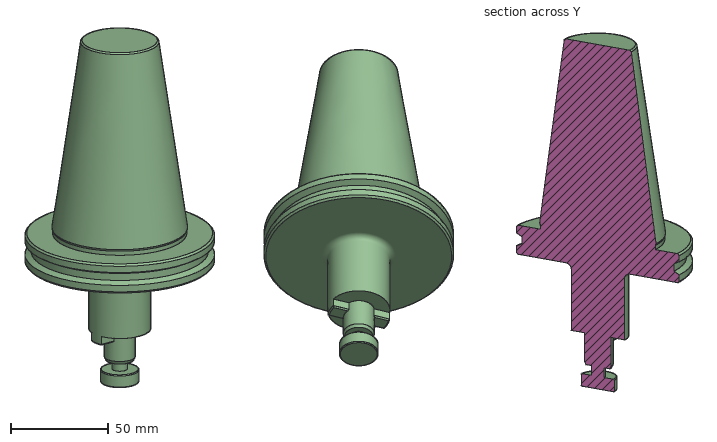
import cadquery as cq


gauge_diameter = 69.85
taper_length = 101.75
taper_ratio = 7 / 24
taper_end_chamfer = 0.75

neck_diameter = 69.0
neck_top_z = -1.0

flange_diameter = 97.5
flange_top_z = -3.2
flange_thickness = 15.9
flange_chamfer = 1.0
groove_floor_diameter = 91.25
groove_centre_z = -11.1
groove_mouth_width = 7.0
groove_floor_width = 3.8

arbor_diameter = 32.0
arbor_shoulder_z = -55.0
arbor_root_fillet = 3.0

key_width = 8.0
key_height = 5.0
key_chamfer = 0.7

pilot_diameter = 16.0
pilot_end_z = -72.0
pilot_chamfer_height = 1.7
pilot_chamfer_depth = 0.8

screw_end_z = -84.0
screw_shank_diameter = 8.0
screw_head_diameter = 20.0
screw_head_height = 7.0
screw_head_chamfer = 0.5

full_turn = 360
axis_start = (0, 0, 0)
axis_end = (0, 1, 0)


def make_cylinder(start_z, end_z, diameter):
    """Cylinder on the Z axis between two heights."""
    return cq.Workplane("XY", origin=(0, 0, start_z)).circle(diameter / 2).extrude(end_z - start_z)


def make_taper():
    """Cone with a chamfered small end and a short bevel down to the neck."""
    gauge_radius = gauge_diameter / 2
    neck_radius = neck_diameter / 2
    small_end_radius = (gauge_diameter - taper_length * taper_ratio) / 2
    chamfer_z = taper_length - taper_end_chamfer
    chamfer_radius = (gauge_diameter - chamfer_z * taper_ratio) / 2
    return (
        cq.Workplane("XZ")
        .moveTo(0, taper_length)
        .lineTo(small_end_radius - taper_end_chamfer, taper_length)
        .lineTo(chamfer_radius, chamfer_z)
        .lineTo(gauge_radius, 0)
        .lineTo(neck_radius, neck_top_z)
        .lineTo(neck_radius, flange_top_z)
        .lineTo(0, flange_top_z)
        .close()
        .revolve(full_turn, axis_start, axis_end)
    )


def make_flange():
    """Disc with chamfered rims and a V-groove around its edge."""
    outer_radius = flange_diameter / 2
    floor_radius = groove_floor_diameter / 2
    rim_radius = outer_radius - flange_chamfer
    bottom_z = flange_top_z - flange_thickness
    half_mouth = groove_mouth_width / 2
    half_floor = groove_floor_width / 2
    return (
        cq.Workplane("XZ")
        .moveTo(0, flange_top_z)
        .lineTo(rim_radius, flange_top_z)
        .lineTo(outer_radius, flange_top_z - flange_chamfer)
        .lineTo(outer_radius, groove_centre_z + half_mouth)
        .lineTo(floor_radius, groove_centre_z + half_floor)
        .lineTo(floor_radius, groove_centre_z - half_floor)
        .lineTo(outer_radius, groove_centre_z - half_mouth)
        .lineTo(outer_radius, bottom_z + flange_chamfer)
        .lineTo(rim_radius, bottom_z)
        .lineTo(0, bottom_z)
        .close()
        .revolve(full_turn, axis_start, axis_end)
    )


def make_arbor():
    """Cylinder that flares into the flange through a concave fillet."""
    radius = arbor_diameter / 2
    top_z = flange_top_z - flange_thickness
    return (
        cq.Workplane("XZ")
        .moveTo(0, top_z)
        .lineTo(radius + arbor_root_fillet, top_z)
        .radiusArc((radius, top_z - arbor_root_fillet), -arbor_root_fillet)
        .lineTo(radius, arbor_shoulder_z)
        .lineTo(0, arbor_shoulder_z)
        .close()
        .revolve(full_turn, axis_start, axis_end)
    )


def make_keys():
    """Two keys on the Y axis, cut from one bar rounded to the arbor diameter."""
    key_end_z = arbor_shoulder_z - key_height
    bar = (
        cq.Workplane("XY", origin=(0, 0, arbor_shoulder_z))
        .rect(key_width, arbor_diameter)
        .extrude(-key_height)
    )
    disc = make_cylinder(arbor_shoulder_z, key_end_z, arbor_diameter)
    return bar.intersect(disc).faces("<Z").chamfer(key_chamfer)


def make_pilot():
    """Cylinder below the arbor with a steep chamfer at its lower end."""
    return (
        make_cylinder(arbor_shoulder_z, pilot_end_z, pilot_diameter)
        .faces("<Z")
        .chamfer(pilot_chamfer_height, pilot_chamfer_depth)
    )


def make_screw():
    """Exposed screw shank and its chamfered head."""
    head_top_z = screw_end_z + screw_head_height
    head = (
        make_cylinder(screw_end_z, head_top_z, screw_head_diameter)
        .faces("<Z or >Z")
        .chamfer(screw_head_chamfer)
    )
    shank = make_cylinder(head_top_z, pilot_end_z, screw_shank_diameter)
    return head.union(shank)


result = (
    make_taper()
    .union(make_flange())
    .union(make_arbor())
    .union(make_keys())
    .union(make_pilot())
    .union(make_screw())
)